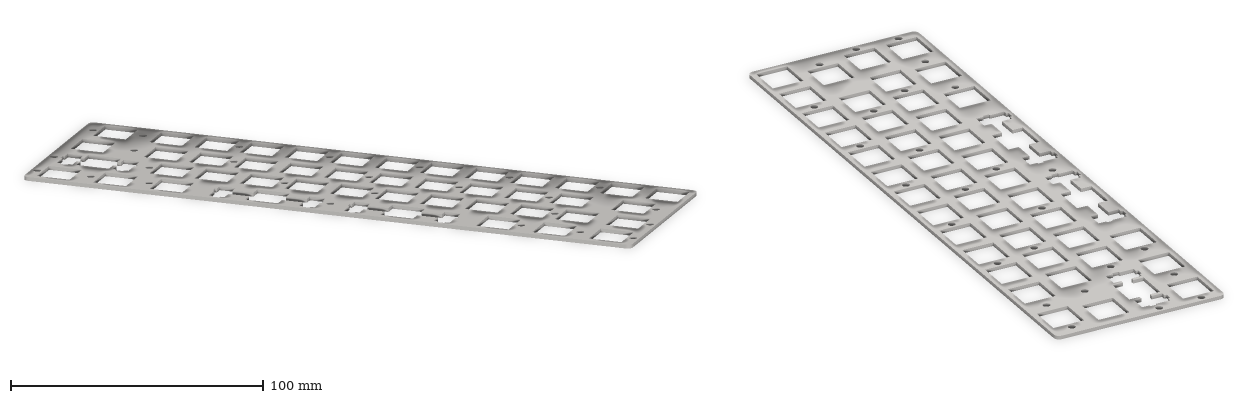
import cadquery as cq

plate_length = 257.2
columns = 13.5
rows = 4
pitch = plate_length / columns
plate_width = rows * pitch
plate_thickness = 1.57
corner_radius = 2.3

switch_size = 14.0

short_stabiliser_reach = 11.8
long_stabiliser_reach = pitch
wire_slot_width = 4.6
housing_width = 6.7
housing_top = 5.7
housing_bottom = -7.0
foot_width = 3.0
foot_bottom = -8.0
side_notch_depth = 0.8
side_notch_top = 2.3
side_notch_bottom = -0.5

hole_diameter = 3.0
end_hole_inset = 2.5
end_hole_x = plate_length / 2 - end_hole_inset


def column_x(column):
    """X of a place counted in key pitches from the left edge."""
    return column * pitch - plate_length / 2


def row_y(row):
    """Y of a row centre, counted from the top row."""
    return plate_width / 2 - (row + 0.5) * pitch


def key_run(first, count):
    """Columns of neighbouring keys one pitch apart."""
    return [first + step for step in range(count)]


def block(left, right, bottom, top):
    """Cutter through the full plate thickness."""
    return cq.Workplane("XY").box(
        right - left, top - bottom, plate_thickness, centered=False
    ).translate((left, bottom, 0))


def housing_cutter(side, reach):
    """Stabiliser housing with a foot below and a notch on its outer side."""
    centre = side * reach
    half_width = housing_width / 2
    notch_ends = sorted([centre, centre + side * (half_width + side_notch_depth)])
    body = block(centre - half_width, centre + half_width, housing_bottom, housing_top)
    foot = block(centre - foot_width / 2, centre + foot_width / 2, foot_bottom, housing_bottom)
    notch = block(notch_ends[0], notch_ends[1], side_notch_bottom, side_notch_top)
    return body.union(foot).union(notch)


def stabiliser_cutter(reach):
    """Two housings joined by a wire slot; the switch opening is cut separately."""
    slot = block(-reach, reach, -wire_slot_width / 2, wire_slot_width / 2)
    return slot.union(housing_cutter(-1, reach)).union(housing_cutter(1, reach))


switch_columns = [
    [0.75] + key_run(2, 12),
    [0.625] + key_run(2.25, 10) + [12.625],
    [1.125] + key_run(2.75, 10) + [12.875],
    [0.625, 1.875, 3.125, 5.25, 8.25, 10.375, 11.625, 12.875],
]
switch_centres = [
    (column_x(column), row_y(row))
    for row, row_columns in enumerate(switch_columns)
    for column in row_columns
]

stabilisers = [
    (1.125, 2, short_stabiliser_reach),
    (5.25, 3, long_stabiliser_reach),
    (8.25, 3, long_stabiliser_reach),
]

grid_hole_columns = [
    [0.25, 3.5, 5.5, 7.5, 9.5, 11.5],
    [3.75, 6.75, 8.75, 10.75],
    [2.25, 5.25, 7.25, 11.25],
    [],
]
free_hole_xs = [
    [-102.5],
    [-99.3, 121.5],
    [-end_hole_x, end_hole_x],
    [-end_hole_x, -103.5, -78.7, -2.0, 78.7, 103.6, end_hole_x],
]
hole_centres = []
for row in range(rows):
    row_hole_xs = [column_x(column) for column in grid_hole_columns[row]] + free_hole_xs[row]
    hole_centres += [(x, row_y(row)) for x in row_hole_xs]

plate = cq.Workplane("XY").box(plate_length, plate_width, plate_thickness, centered=(True, True, False))
plate = plate.edges("|Z").fillet(corner_radius)

plate = plate.faces(">Z").workplane(origin=(0, 0, 0)).pushPoints(switch_centres)
plate = plate.rect(switch_size, switch_size).cutThruAll()
plate = plate.faces(">Z").workplane(origin=(0, 0, 0)).pushPoints(hole_centres).hole(hole_diameter)
for column, row, reach in stabilisers:
    plate = plate.cut(stabiliser_cutter(reach).translate((column_x(column), row_y(row), 0)))

result = plate